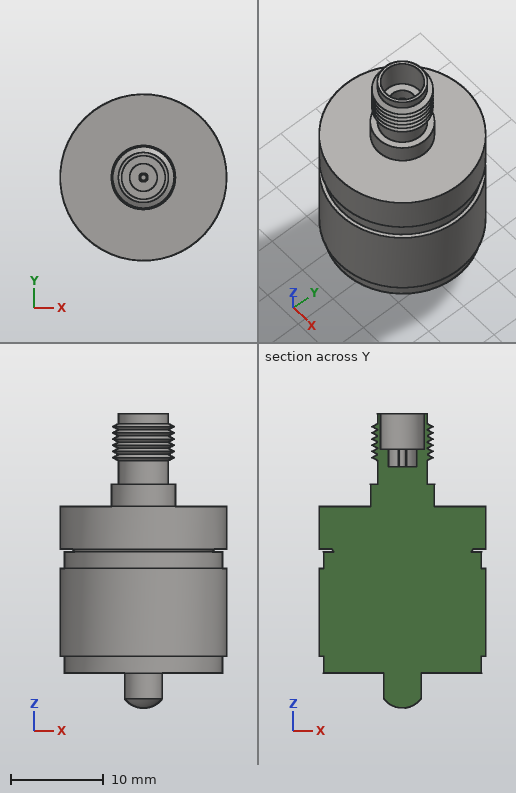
import cadquery as cq
import math

TOTAL_HEIGHT = 31.83
DOME_HEIGHT = 1.02
BASE_BOTTOM = 3.8
SLEEVE_BOTTOM = 5.6
SLEEVE_TOP = 15.12
NECK_BOTTOM = 16.9
NECK_TOP = 17.2
CAP_TOP = 21.8
COLLAR_TOP = 24.22

BODY_RADIUS = 9.0
BASE_RADIUS = 8.55
NECK_BOTTOM_RADIUS = 7.48
NECK_TOP_RADIUS = 7.67
PLUNGER_RADIUS = 2.05

COLLAR_RADIUS = 3.47
BARREL_RADIUS = 2.7
SOCKET_RADIUS = 2.35
SOCKET_DEPTH = 3.82
CORE_RADIUS = 1.5
CORE_DEPTH = 1.9
CONTACT_RADIUS = 0.48
CONTACT_HOLE_RADIUS = 0.32

RIDGE_COUNT = 6
RIDGE_PITCH = 0.67
CREST_RADIUS = 3.3
TOP_CREST = 30.43
FLANK_HEIGHT = RIDGE_PITCH / 2


def cylinder(radius, bottom, top):
    """Solid cylinder on the Z axis between two heights."""
    return cq.Workplane("XY", origin=(0, 0, bottom)).circle(radius).extrude(top - bottom)


def make_body():
    """Plunger with a domed tip, sleeve, tapered neck groove and cap."""
    dome_radius = (PLUNGER_RADIUS**2 + DOME_HEIGHT**2) / (2 * DOME_HEIGHT)
    half_angle = math.asin(PLUNGER_RADIUS / dome_radius) / 2
    dome_middle = (
        dome_radius * math.sin(half_angle),
        dome_radius * (1 - math.cos(half_angle)),
    )
    return (
        cq.Workplane("XZ")
        .moveTo(0, 0)
        .threePointArc(dome_middle, (PLUNGER_RADIUS, DOME_HEIGHT))
        .lineTo(PLUNGER_RADIUS, BASE_BOTTOM)
        .lineTo(BASE_RADIUS, BASE_BOTTOM)
        .lineTo(BASE_RADIUS, SLEEVE_BOTTOM)
        .lineTo(BODY_RADIUS, SLEEVE_BOTTOM)
        .lineTo(BODY_RADIUS, SLEEVE_TOP)
        .lineTo(BASE_RADIUS, SLEEVE_TOP)
        .lineTo(BASE_RADIUS, NECK_BOTTOM)
        .lineTo(NECK_BOTTOM_RADIUS, NECK_BOTTOM)
        .lineTo(NECK_TOP_RADIUS, NECK_TOP)
        .lineTo(BODY_RADIUS, NECK_TOP)
        .lineTo(BODY_RADIUS, CAP_TOP)
        .lineTo(0, CAP_TOP)
        .close()
        .revolve(360, (0, 0, 0), (0, 1, 0))
    )


def make_connector():
    """Collar and threaded barrel, as one turned profile."""
    profile = (
        cq.Workplane("XZ")
        .moveTo(0, CAP_TOP)
        .lineTo(COLLAR_RADIUS, CAP_TOP)
        .lineTo(COLLAR_RADIUS, COLLAR_TOP)
        .lineTo(BARREL_RADIUS, COLLAR_TOP)
    )
    lowest_crest = TOP_CREST - (RIDGE_COUNT - 1) * RIDGE_PITCH
    profile = profile.lineTo(BARREL_RADIUS, lowest_crest - FLANK_HEIGHT)
    for ridge in range(RIDGE_COUNT):
        crest = lowest_crest + ridge * RIDGE_PITCH
        profile = profile.lineTo(CREST_RADIUS, crest).lineTo(BARREL_RADIUS, crest + FLANK_HEIGHT)
    return (
        profile.lineTo(BARREL_RADIUS, TOTAL_HEIGHT)
        .lineTo(0, TOTAL_HEIGHT)
        .close()
        .revolve(360, (0, 0, 0), (0, 1, 0))
    )


def make_socket():
    """Space to remove: stepped bore around a hollow centre contact."""
    socket_floor = TOTAL_HEIGHT - SOCKET_DEPTH
    core_floor = socket_floor - CORE_DEPTH
    bore = cylinder(SOCKET_RADIUS, socket_floor, TOTAL_HEIGHT)
    core = cylinder(CORE_RADIUS, core_floor, socket_floor)
    contact = cylinder(CONTACT_RADIUS, core_floor, socket_floor)
    contact_hole = cylinder(CONTACT_HOLE_RADIUS, core_floor, socket_floor)
    return bore.union(core.cut(contact)).union(contact_hole)


result = make_body().union(make_connector()).cut(make_socket())